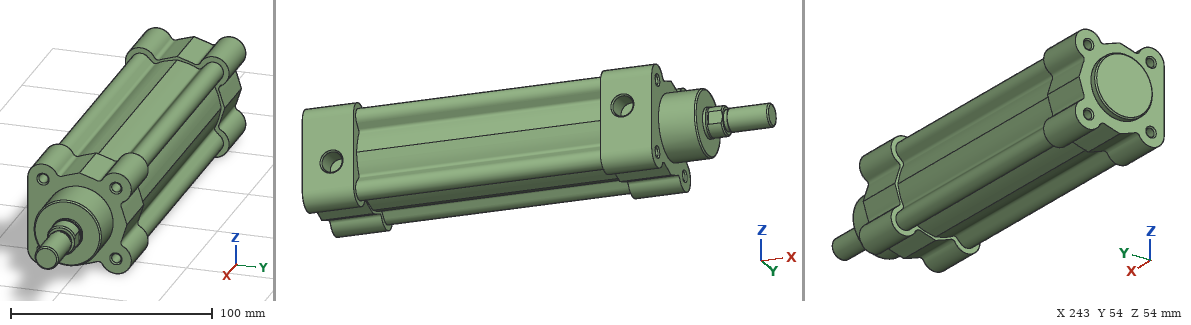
import cadquery as cq
import math

total_length = 243.0
collar_length = 4.0
cap_length = 27.2
barrel_length = 131.0
boss_length = 19.7
rod_shoulder_length = 10.2
relief_length = 2.0

rear_cap_start = collar_length
barrel_start = rear_cap_start + cap_length
front_cap_start = barrel_start + barrel_length
boss_start = front_cap_start + cap_length
boss_end = boss_start + boss_length
shank_end = boss_end + rod_shoulder_length
thread_start = shank_end + relief_length

tolerance = 0.02

body_size = 54.0
lobe_offset = 19.0
cap_core_radius = 23.5
cap_ridge_half_width = 7.0
cap_valley_fillet = 2.2
cap_lobe_radius = body_size / 2 - lobe_offset
barrel_core_radius = 22.4
barrel_ridge_half_width = 4.9
barrel_lobe_radius = 5.0
barrel_valley_fillet = 2.0

boss_radius = 17.5
boss_chamfer = 0.7
bolt_hole_diameter = 4.9
bolt_hole_depth = 16.0
bolt_countersink_diameter = 6.3
countersink_angle = 90
port_diameter = 10.7
port_chamfer = 0.7
port_chamfer_angle = 45
port_depth = 12.2
port_inset = 15.5
port_offset = 4.9

rod_radius = 8.0
reduced_radius = 7.8
step_to_boss = 1.5
step_length = 0.7
rod_chamfer = 0.7
flats_to_boss = 3.0
flats_width = 14.0
thread_radius = 6.0
thread_chamfer = 0.7
relief_radius = 5.5

lobe_centers = [(y, z) for y in (-lobe_offset, lobe_offset) for z in (-lobe_offset, lobe_offset)]


def section_at(x):
    """Workplane across the axis whose local axes are Y and Z."""
    return cq.Workplane("YZ", origin=(x, 0, 0))


def ridged_core(x, length, radius, ridge_half_width):
    """Round core with a shallow ridge, tangent to the round, along each of its four sides."""
    core = section_at(x).circle(radius).extrude(length)
    tangent_height = math.sqrt(radius**2 - ridge_half_width**2)
    apex = radius**2 / tangent_height
    ridge = (
        section_at(x)
        .moveTo(0, 0)
        .lineTo(ridge_half_width, tangent_height)
        .lineTo(0, apex)
        .lineTo(-ridge_half_width, tangent_height)
        .close()
        .extrude(length)
    )
    for side in range(4):
        core = core.union(ridge.rotate((0, 0, 0), (1, 0, 0), 90 * side))
    return core


def fillet_valleys(body, core_radius, ridge_half_width, fillet_radius):
    """Round the inside corners where the lobes leave the round core."""

    def is_valley(edge):
        point = edge.Center()
        on_core = abs(math.hypot(point.y, point.z) - core_radius) < tolerance
        beyond_ridge = min(abs(point.y), abs(point.z)) > ridge_half_width + tolerance
        return on_core and beyond_ridge

    valleys = [edge for edge in body.edges("|X").vals() if is_valley(edge)]
    return body.newObject(valleys).fillet(fillet_radius)


def make_cap_block(x):
    """Lobed cap section, filled out to a flat face on the -Y side."""
    block = ridged_core(x, cap_length, cap_core_radius, cap_ridge_half_width)
    lobes = section_at(x).pushPoints(lobe_centers).circle(cap_lobe_radius).extrude(cap_length)
    block = block.union(lobes)
    block = fillet_valleys(block, cap_core_radius, cap_ridge_half_width, cap_valley_fillet)
    port_side = (
        section_at(x)
        .center(-body_size / 4, 0)
        .rect(body_size / 2, 2 * lobe_offset)
        .extrude(cap_length)
    )
    return block.union(port_side)


def cut_port(cap, x, z):
    """Chamfered blind air port in the flat -Y side."""
    port = (
        cq.Workplane("XZ", origin=(x, -body_size / 2, z))
        .circle(port_diameter / 2)
        .extrude(-port_depth)
    )
    mouth = (
        cq.Workplane("XZ", origin=(x, -body_size / 2, z))
        .circle(port_diameter / 2 + port_chamfer)
        .extrude(-port_chamfer, taper=port_chamfer_angle)
    )
    return cap.cut(port).cut(mouth)


def cut_bolt_holes(cap, face):
    """Countersunk blind bolt hole in the centre of each lobe."""
    return (
        cap.faces(face)
        .workplane(origin=(0, 0, 0))
        .pushPoints(lobe_centers)
        .cskHole(bolt_hole_diameter, bolt_countersink_diameter, countersink_angle, bolt_hole_depth)
    )


def make_rear_cap():
    """Rear cap with a low centring collar."""
    cap = cut_bolt_holes(make_cap_block(rear_cap_start), "<X")
    collar = section_at(0).circle(boss_radius).extrude(collar_length)
    collar = collar.faces("<X").chamfer(boss_chamfer)
    return cut_port(cap.union(collar), rear_cap_start + port_inset, -port_offset)


def make_front_cap():
    """Front cap with a guide boss, bored through for the rod."""
    cap = cut_bolt_holes(make_cap_block(front_cap_start), ">X")
    boss = section_at(boss_start).circle(boss_radius).extrude(boss_length)
    boss = boss.faces(">X").chamfer(boss_chamfer)
    cap = cut_port(cap.union(boss), boss_start - port_inset, port_offset)
    rod_bore = section_at(front_cap_start).circle(rod_radius).extrude(cap_length + boss_length)
    return cap.cut(rod_bore)


def make_barrel():
    """Extruded profile whose corner lobes stand on straight-sided diagonal webs."""
    barrel = ridged_core(barrel_start, barrel_length, barrel_core_radius, barrel_ridge_half_width)
    slot_length = 2 * (math.hypot(lobe_offset, lobe_offset) + barrel_lobe_radius)
    for angle in (45, 135):
        lobe_pair = (
            section_at(barrel_start)
            .slot2D(slot_length, 2 * barrel_lobe_radius, angle)
            .extrude(barrel_length)
        )
        barrel = barrel.union(lobe_pair)
    return fillet_valleys(barrel, barrel_core_radius, barrel_ridge_half_width, barrel_valley_fillet)


def make_rod():
    """Piston rod: shank with two flats, relief groove and plain threaded end."""
    step_start = boss_end + step_to_boss
    flat_start = boss_end + flats_to_boss
    shank = (
        cq.Workplane("XY")
        .moveTo(front_cap_start, 0)
        .lineTo(front_cap_start, rod_radius)
        .lineTo(step_start, rod_radius)
        .lineTo(step_start + step_length, reduced_radius)
        .lineTo(shank_end - rod_chamfer, reduced_radius)
        .lineTo(shank_end, reduced_radius - rod_chamfer)
        .lineTo(shank_end, 0)
        .close()
        .revolve(360, (0, 0, 0), (1, 0, 0))
    )
    for side in (-1, 1):
        flat = cq.Workplane("XY").box(shank_end - flat_start, rod_radius, 2 * rod_radius)
        flat = flat.translate(((flat_start + shank_end) / 2, side * (flats_width + rod_radius) / 2, 0))
        shank = shank.cut(flat)
    relief = section_at(shank_end).circle(relief_radius).extrude(relief_length)
    thread = section_at(thread_start).circle(thread_radius).extrude(total_length - thread_start)
    thread = thread.faces(">X").chamfer(thread_chamfer)
    return shank.union(relief).union(thread)


rear_cap = make_rear_cap()
barrel = make_barrel()
front_cap = make_front_cap()
rod = make_rod()

result = cq.Compound.makeCompound([rear_cap.val(), barrel.val(), front_cap.val(), rod.val()])